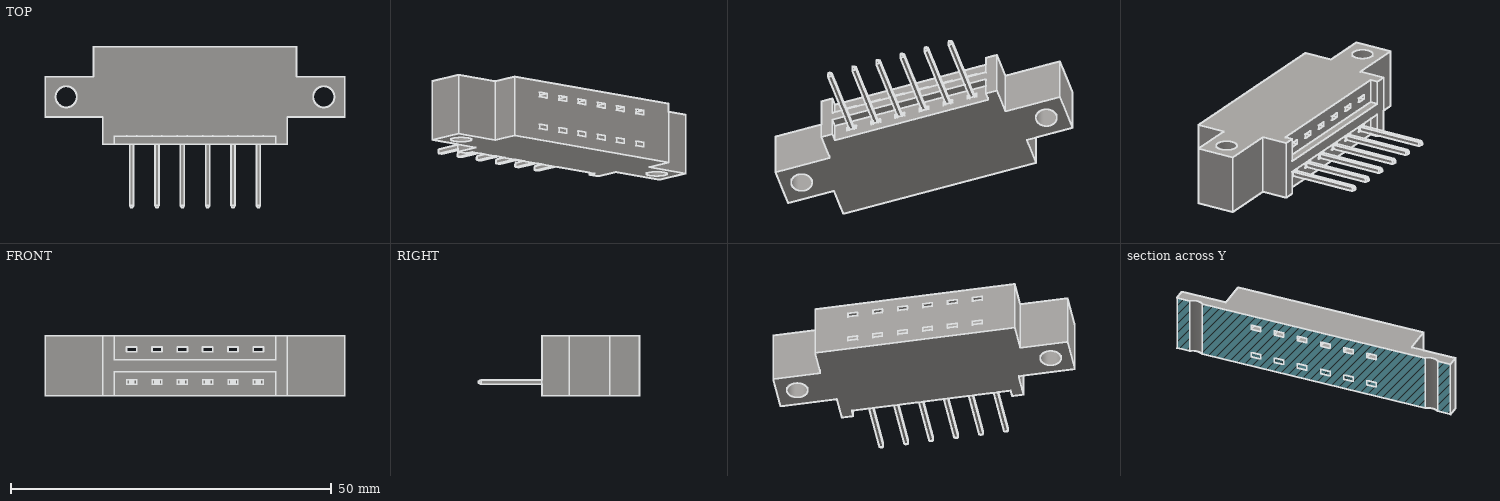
import cadquery as cq


housing_length = 46.8
housing_depth = 15.25
housing_height = 9.4
front_block_width = 28.85
back_block_width = 31.72
ear_front_y = 4.25
ear_depth = 6.3
ear_back_y = ear_front_y + ear_depth

mounting_hole_diameter = 3.28
mounting_hole_spacing = 40.25

recess_width = 25.2
recess_depth = 1.25
rib_height = 1.82
recess_height = (housing_height - rib_height) / 2

contact_count = 6
contact_row_span = 19.8
contact_pitch = contact_row_span / (contact_count - 1)
row_spacing = 5.1
slot_width = 1.55
slot_height = 0.7
slot_length = housing_depth - recess_depth
lower_row_z = (housing_height - row_spacing) / 2
upper_row_z = (housing_height + row_spacing) / 2
contact_positions = [i * contact_pitch - contact_row_span / 2 for i in range(contact_count)]

tail_width = 0.65
tail_reach = 9.9
tip_length = 0.4
tip_size = 0.25
shoulder_length = 0.85
shoulder_front_y = recess_depth
shoulder_back_y = shoulder_front_y + shoulder_length


def block(width, depth, height, x, front_y, bottom_z):
    """Box centred on x in width, starting at front_y and standing on bottom_z."""
    return cq.Workplane("XY").box(width, depth, height, centered=(True, False, False)).translate(
        (x, front_y, bottom_z)
    )


def make_housing():
    front_block = block(front_block_width, ear_back_y, housing_height, 0, 0, 0)
    ears = block(housing_length, ear_depth, housing_height, 0, ear_front_y, 0)
    back_block = block(
        back_block_width, housing_depth - ear_front_y, housing_height, 0, ear_front_y, 0
    )
    body = front_block.union(ears).union(back_block)

    mounting_holes = (
        cq.Workplane("XY")
        .pushPoints([(side * mounting_hole_spacing / 2, ear_front_y + ear_depth / 2) for side in (-1, 1)])
        .circle(mounting_hole_diameter / 2)
        .extrude(housing_height)
    )
    body = body.cut(mounting_holes)

    for recess_bottom in (0, housing_height - recess_height):
        body = body.cut(block(recess_width, recess_depth, recess_height, 0, 0, recess_bottom))

    for row_z in (lower_row_z, upper_row_z):
        for x in contact_positions:
            slot_bottom = row_z - slot_height / 2
            body = body.cut(block(slot_width, slot_length, slot_height, x, recess_depth, slot_bottom))
    return body


def make_contact(x):
    half_blade = slot_width / 2
    half_tail = tail_width / 2
    tail_end_y = tip_length - tail_reach
    profile = [
        (-half_tail, tail_end_y),
        (half_tail, tail_end_y),
        (half_tail, shoulder_front_y),
        (half_blade, shoulder_back_y),
        (half_blade, housing_depth),
        (-half_blade, housing_depth),
        (-half_blade, shoulder_back_y),
        (-half_tail, shoulder_front_y),
    ]
    blade_and_tail = (
        cq.Workplane("XY").polyline(profile).close().extrude(slot_height).translate((0, 0, -slot_height / 2))
    )
    tip = (
        cq.Workplane("XZ", origin=(0, tail_end_y, 0))
        .rect(tail_width, slot_height)
        .workplane(offset=tip_length)
        .rect(tip_size, tip_size)
        .loft(ruled=True)
    )
    return blade_and_tail.union(tip).translate((x, 0, lower_row_z))


housing = make_housing()
contacts = [make_contact(x) for x in contact_positions]

result = cq.Compound.makeCompound([housing.val(), *[contact.val() for contact in contacts]])